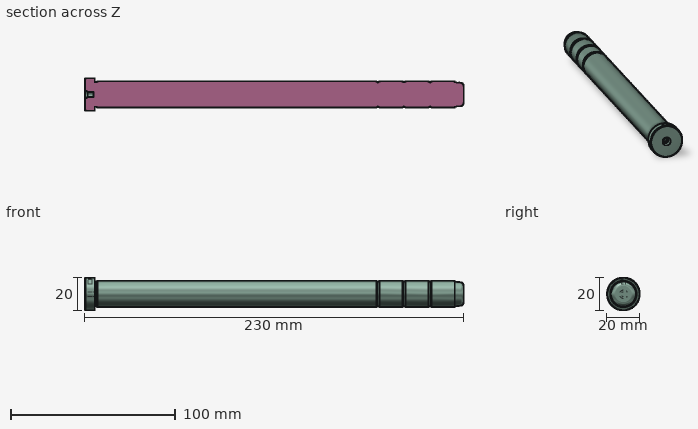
import cadquery as cq

length = 230.0
head_radius = 20.0 / 2
head_thickness = 6.0
head_chamfer = 0.5
shaft_radius = 16.0 / 2

neck_radius = 15.2 / 2
neck_end = 7.0
shaft_start = 7.8

groove_count = 3
first_groove_center = 177.8
groove_pitch = 15.9
groove_width = 2.0
groove_depth = 0.7

taper_start = 224.5
taper_radius = 15.2 / 2
nose_length = 2.3
nose_start_radius = 14.5 / 2
nose_radius = nose_start_radius - nose_length

center_mouth_radius = 5.0 / 2
center_pilot_radius = 3.0 / 2
center_cone_depth = 1.8
center_pilot_depth = 5.0
rim_mouth_radius = 4.0 / 2
rim_pilot_radius = 2.5 / 2
rim_cone_depth = 1.2
rim_pilot_depth = 4.0


def make_body():
    """Revolve the half outline of the headed pin around the X axis."""
    nose_start = length - nose_length
    outline = (
        cq.Workplane("XZ")
        .moveTo(0, 0)
        .lineTo(0, head_radius - head_chamfer)
        .lineTo(head_chamfer, head_radius)
        .lineTo(head_thickness, head_radius)
        .lineTo(head_thickness, neck_radius)
        .lineTo(neck_end, neck_radius)
        .lineTo(shaft_start, shaft_radius)
    )
    for index in range(groove_count):
        center = first_groove_center + index * groove_pitch
        outline = (
            outline.lineTo(center - groove_width / 2, shaft_radius)
            .lineTo(center, shaft_radius - groove_depth)
            .lineTo(center + groove_width / 2, shaft_radius)
        )
    outline = (
        outline.lineTo(taper_start, shaft_radius)
        .lineTo(taper_start, taper_radius)
        .lineTo(nose_start, nose_start_radius)
        .radiusArc((length, nose_radius), nose_length)
        .lineTo(length, 0)
        .close()
    )
    return outline.revolve(360, (0, 0, 0), (1, 0, 0))


def make_center_hole():
    """Conical centre hole with a pilot, entering the head face."""
    return (
        cq.Workplane("XZ")
        .moveTo(0, 0)
        .lineTo(0, center_mouth_radius)
        .lineTo(center_cone_depth, center_pilot_radius)
        .lineTo(center_pilot_depth, center_pilot_radius)
        .lineTo(center_pilot_depth, 0)
        .close()
        .revolve(360, (0, 0, 0), (1, 0, 0))
    )


def make_rim_hole():
    """Countersunk blind hole going down into the rim of the head, midway along it."""
    hole_x = head_thickness / 2
    pilot = (
        cq.Workplane("XY", origin=(hole_x, 0, head_radius - rim_pilot_depth))
        .circle(rim_pilot_radius)
        .extrude(rim_pilot_depth)
    )
    cone = (
        cq.Workplane("XY", origin=(hole_x, 0, head_radius - rim_cone_depth))
        .circle(rim_pilot_radius)
        .workplane(offset=rim_cone_depth)
        .circle(rim_mouth_radius)
        .loft()
    )
    return pilot.union(cone)


result = make_body().cut(make_center_hole()).cut(make_rim_hole())